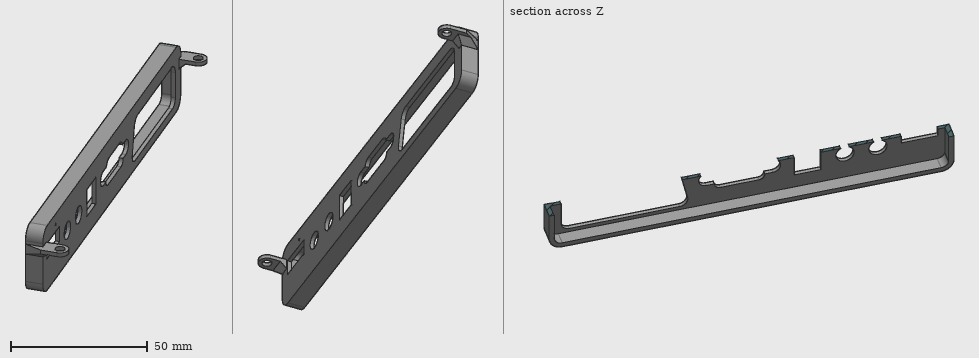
import cadquery as cq

TOTAL_LENGTH = 161.5
TOTAL_DEPTH = 16.5
HEIGHT = 27.0
FRAME_DEPTH = 6.8
FRAME_Y_MIN = -78.2
FRAME_Y_MAX = 76.5
WALL = 2.0
END_WALL = 2.1
PLATE = 1.6
CORNER_RADIUS = 5.0
RECESS_RADIUS = CORNER_RADIUS - WALL

EAR_RADIUS = 3.2
EAR_HOLE = 3.5
EAR_TOP = 7.1
EAR_THICKNESS = 1.6
GUSSET_DROP = 2.6

WINDOW_CORNERS = [(70.4, 7.6), (70.4, -10.0), (21.3, -10.0), (25.2, 7.6)]
WINDOW_TOP_RADIUS = 4.0
WINDOW_BOTTOM_RADIUS = 3.0
SERIAL_CENTER = (2.3, 0.8)
SERIAL_SLOT_LENGTH = 31.3
SERIAL_SLOT_HEIGHT = 6.0
SERIAL_BODY_HEIGHT = 10.7
SERIAL_TOP_WIDTH = 17.5
SERIAL_BOTTOM_WIDTH = 19.7
SERIAL_TOP_RADIUS = 3.0
SERIAL_BOTTOM_RADIUS = 2.3
SQUARE_PORT = (-23.7, 0.0, 10.2, 11.1)
WIDE_PORT = (-66.5, 2.9, 14.0, 6.3)
JACK_PLACES = [(-38.0, -0.2), (-50.5, -0.2)]
JACK_DIAMETER = 7.0
PINHOLE_PLACE = (-63.6, 9.0)
PINHOLE_DIAMETER = 0.8

FRAME_LENGTH = FRAME_Y_MAX - FRAME_Y_MIN
FRAME_MID_Y = (FRAME_Y_MAX + FRAME_Y_MIN) / 2
RECESS_DEPTH = FRAME_DEPTH - PLATE
EAR_BOTTOM = EAR_TOP - EAR_THICKNESS
EAR_CENTER_X = TOTAL_DEPTH - EAR_RADIUS


def rounded_block(length, height, depth, radius):
    """Block centred on the frame, running back from the front plane X = 0."""
    return (
        cq.Workplane("YZ")
        .center(FRAME_MID_Y, 0)
        .rect(length, height)
        .extrude(depth)
        .edges("|X")
        .fillet(radius)
    )


def ear_outline(side, frame_end):
    """Closed plan outline of an ear, lying flat at the underside of the ear."""
    tip = side * TOTAL_LENGTH / 2
    center_y = tip - side * EAR_RADIUS
    inner = center_y - side * EAR_RADIUS
    return (
        cq.Workplane("XY", origin=(0, 0, EAR_BOTTOM))
        .moveTo(0, inner)
        .lineTo(EAR_CENTER_X, inner)
        .threePointArc((TOTAL_DEPTH, center_y), (EAR_CENTER_X, tip))
        .lineTo(FRAME_DEPTH, tip)
        .lineTo(0, frame_end)
        .close()
    )


def gusset_profile(plane, inner, root, outward):
    """Side profile under an ear, sloping out at 45 degrees from the frame face at root."""
    gusset_bottom = EAR_BOTTOM - GUSSET_DROP
    return cq.Workplane(plane).polyline([
        (inner, EAR_BOTTOM),
        (inner, gusset_bottom),
        (root, gusset_bottom),
        (root + outward * GUSSET_DROP, EAR_BOTTOM),
    ]).close()


def ear_with_gusset(side, frame_end):
    """Ear on the +Y (side = 1) or -Y (side = -1) end, with its support below."""
    center_y = side * (TOTAL_LENGTH / 2 - EAR_RADIUS)
    inner = center_y - side * EAR_RADIUS
    plate = ear_outline(side, frame_end).extrude(EAR_THICKNESS)
    back_slope = gusset_profile("XZ", 0, FRAME_DEPTH, 1).extrude(TOTAL_LENGTH, both=True)
    end_slope = gusset_profile("YZ", inner, frame_end, side).extrude(TOTAL_DEPTH)
    gusset = (
        ear_outline(side, frame_end)
        .extrude(-GUSSET_DROP)
        .intersect(back_slope)
        .intersect(end_slope)
    )
    hole = (
        cq.Workplane("XY")
        .center(EAR_CENTER_X, center_y)
        .circle(EAR_HOLE / 2)
        .extrude(HEIGHT)
    )
    return plate.union(gusset).cut(hole)


def panel_sketch(place=(0, 0)):
    """Sketch plane on the open front, centred on a (Y, Z) place."""
    return cq.Workplane("YZ").center(*place)


def round_corners(block, top_radius, bottom_radius):
    """Round the upper and lower corners of an opening, along its depth."""
    rounded = block.faces(">Z").edges("|X").fillet(top_radius)
    return rounded.faces("<Z").edges("|X").fillet(bottom_radius)


def window():
    """Large opening with one slanted side."""
    block = panel_sketch().polyline(WINDOW_CORNERS).close().extrude(FRAME_DEPTH)
    return round_corners(block, WINDOW_TOP_RADIUS, WINDOW_BOTTOM_RADIUS)


def serial_port():
    """Tapered connector opening joined with a round-ended slot for its screws."""
    half_height = SERIAL_BODY_HEIGHT / 2
    half_top = SERIAL_TOP_WIDTH / 2
    half_bottom = SERIAL_BOTTOM_WIDTH / 2
    body = (
        panel_sketch(SERIAL_CENTER)
        .polyline([
            (-half_top, half_height),
            (half_top, half_height),
            (half_bottom, -half_height),
            (-half_bottom, -half_height),
        ])
        .close()
        .extrude(FRAME_DEPTH)
    )
    slot = (
        panel_sketch(SERIAL_CENTER)
        .slot2D(SERIAL_SLOT_LENGTH, SERIAL_SLOT_HEIGHT)
        .extrude(FRAME_DEPTH)
    )
    return round_corners(body, SERIAL_TOP_RADIUS, SERIAL_BOTTOM_RADIUS).union(slot)


def rectangular_port(y, z, width, height):
    return panel_sketch((y, z)).rect(width, height).extrude(FRAME_DEPTH)


def round_hole(place, diameter):
    return panel_sketch(place).circle(diameter / 2).extrude(FRAME_DEPTH)


result = rounded_block(FRAME_LENGTH, HEIGHT, FRAME_DEPTH, CORNER_RADIUS)
result = result.union(ear_with_gusset(1, FRAME_Y_MAX))
result = result.union(ear_with_gusset(-1, FRAME_Y_MIN))

recess = rounded_block(FRAME_LENGTH - 2 * WALL, HEIGHT - 2 * WALL, RECESS_DEPTH, RECESS_RADIUS)
end_wall = (
    cq.Workplane("XY", origin=(0, FRAME_Y_MIN, 0))
    .box(RECESS_DEPTH, END_WALL, HEIGHT, centered=(False, False, True))
)
result = result.cut(recess.cut(end_wall))

result = result.cut(window())
result = result.cut(serial_port())
for port in (SQUARE_PORT, WIDE_PORT):
    result = result.cut(rectangular_port(*port))
for place in JACK_PLACES:
    result = result.cut(round_hole(place, JACK_DIAMETER))
result = result.cut(round_hole(PINHOLE_PLACE, PINHOLE_DIAMETER))